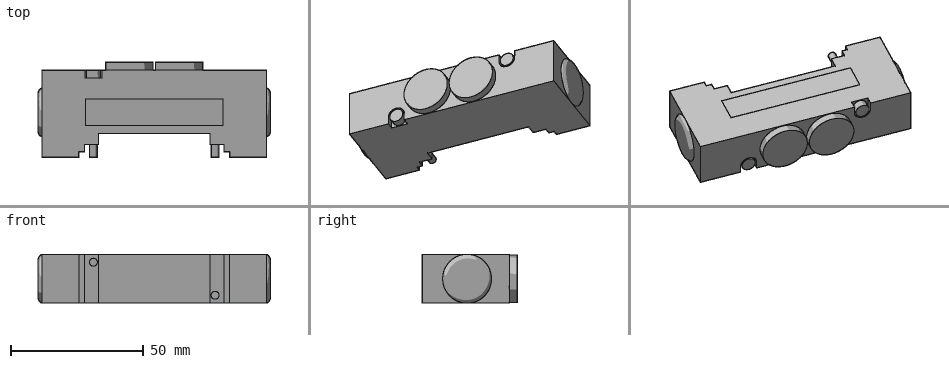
import cadquery as cq
import math

BODY_LENGTH = 85.0
BODY_DEPTH = 33.0
BODY_HEIGHT = 18.5

FRONT_STEPS = [(28.5, 2.1), (26.3, 4.8), (21.0, 9.0)]

BUTTON_BASE_DIAMETER = BODY_HEIGHT
BUTTON_TIP_DIAMETER = 14.0
BUTTON_PROJECTION = 1.5
BUTTON_Y = BODY_DEPTH - 16.0

BOSS_DIAMETER = 18.0
BOSS_PROJECTION = 3.0
BOSS_SPACING = 18.8

LABEL_LENGTH = 52.0
LABEL_WIDTH = 10.0
LABEL_DEPTH = 0.1
LABEL_Y = BUTTON_Y

SCREW_X = 23.0
SCREW_EDGE_DISTANCE = 3.0
SHANK_DIAMETER = 3.0
HEAD_DIAMETER = 5.4
HEAD_HEIGHT = 3.0
POCKET_WIDTH = 6.5
POCKET_DEPTH = HEAD_HEIGHT


def cylinder_along_y(diameter, x, z, y_start, y_end):
    """Cylinder with its axis along Y, from y_start to y_end."""
    plane = cq.Plane(origin=(x, y_start, z), xDir=(1, 0, 0), normal=(0, 1, 0))
    return cq.Workplane(plane).circle(diameter / 2).extrude(y_end - y_start)


def block(length, width, height, x, y, z):
    """Box centred at the given point."""
    return cq.Workplane("XY").box(length, width, height).translate((x, y, z))


def make_body():
    """Rectangular body with the stepped recess in its front face."""
    body = block(BODY_LENGTH, BODY_DEPTH, BODY_HEIGHT, 0, BODY_DEPTH / 2, 0)
    for half_width, depth in FRONT_STEPS:
        body = body.cut(block(2 * half_width, depth, BODY_HEIGHT, 0, depth / 2, 0))
    return body


def make_button(side):
    """End button whose rim arc runs from the body face and is tangent to the flat tip."""
    base_radius = BUTTON_BASE_DIAMETER / 2
    tip_radius = BUTTON_TIP_DIAMETER / 2
    run = base_radius - tip_radius
    rim_radius = (run**2 + BUTTON_PROJECTION**2) / (2 * BUTTON_PROJECTION)
    half_angle = math.atan2(BUTTON_PROJECTION, run)
    arc_middle = (
        tip_radius + rim_radius * math.sin(half_angle),
        BUTTON_PROJECTION - rim_radius * (1 - math.cos(half_angle)),
    )
    plane = cq.Plane(
        origin=(side * BODY_LENGTH / 2, BUTTON_Y, 0),
        xDir=(0, 1, 0),
        normal=(0, 0, -side),
    )
    return (
        cq.Workplane(plane)
        .lineTo(base_radius, 0)
        .threePointArc(arc_middle, (tip_radius, BUTTON_PROJECTION))
        .lineTo(0, BUTTON_PROJECTION)
        .close()
        .revolve(360, (0, 0), (0, 1))
    )


def make_label_recess():
    """Cutter for the label recess."""
    top = BODY_HEIGHT / 2
    return block(LABEL_LENGTH, LABEL_WIDTH, LABEL_DEPTH, 0, LABEL_Y, top - LABEL_DEPTH / 2)


def make_screw(x, z):
    """Screw head seated in the pocket and shank reaching the front plane."""
    head = cylinder_along_y(HEAD_DIAMETER, x, z, BODY_DEPTH - POCKET_DEPTH, BODY_DEPTH)
    shank = cylinder_along_y(SHANK_DIAMETER, x, z, 0, BODY_DEPTH - POCKET_DEPTH)
    return head.union(shank)


def make_pocket(x, side):
    """Round-bottomed head pocket, open at the back and at the top or bottom face."""
    z = side * (BODY_HEIGHT / 2 - SCREW_EDGE_DISTANCE)
    y_start = BODY_DEPTH - POCKET_DEPTH
    round_end = cylinder_along_y(POCKET_WIDTH, x, z, y_start, BODY_DEPTH)
    opening = block(
        POCKET_WIDTH,
        POCKET_DEPTH,
        SCREW_EDGE_DISTANCE,
        x,
        y_start + POCKET_DEPTH / 2,
        z + side * SCREW_EDGE_DISTANCE / 2,
    )
    return round_end.union(opening)


result = make_body().cut(make_label_recess())

for side in (-1, 1):
    result = result.union(make_button(side))
    boss_x = side * BOSS_SPACING / 2
    boss_end = BODY_DEPTH + BOSS_PROJECTION
    result = result.union(cylinder_along_y(BOSS_DIAMETER, boss_x, 0, BODY_DEPTH, boss_end))

for side in (-1, 1):
    screw_x = side * SCREW_X
    screw_z = -side * (BODY_HEIGHT / 2 - SCREW_EDGE_DISTANCE)
    result = result.cut(make_pocket(screw_x, -side))
    result = result.union(make_screw(screw_x, screw_z))